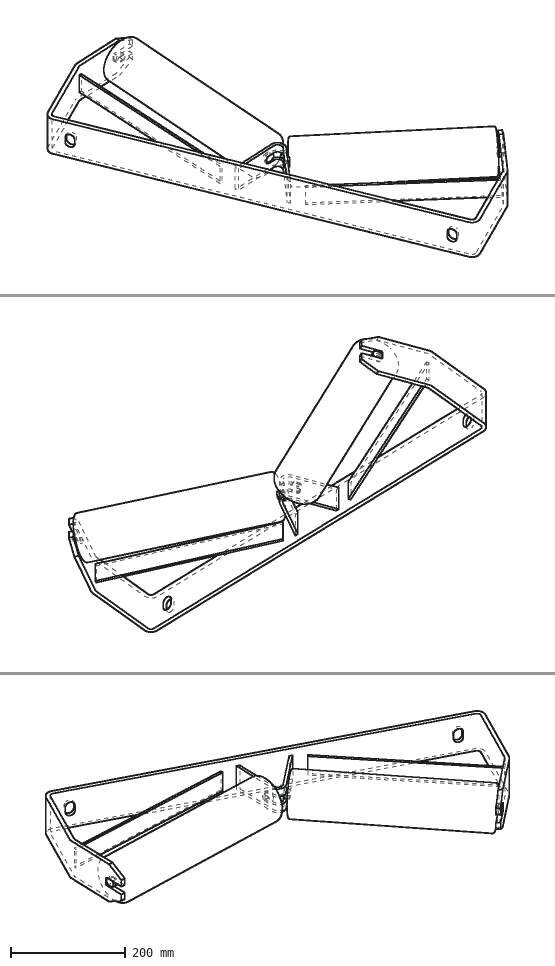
import cadquery as cq
import math


FRAME_LENGTH = 810.0
FRAME_HEIGHT = 80.0
FRAME_THICKNESS = 8.0
BEND_RADIUS = 15.0
LEAN = 25.0
ARM_BEND_Y = 152.0
ARM_LENGTH = 131.0
ARM_CHAMFER_LENGTH = 31.5
ARM_CHAMFER_HEIGHT = 18.0
MOUNT_SLOT_SPACING = 716.0
MOUNT_SLOT_WIDTH = 18.0
MOUNT_SLOT_LENGTH = 28.0

ROLLER_DIAMETER = 89.0
ROLLER_LENGTH = 364.5
ROLLER_EDGE_RADIUS = 4.0
ROLLER_X = 187.0
ROLLER_Y = 161.0
SHAFT_DIAMETER = 18.0
SHAFT_FLATS = 14.0
SHAFT_OVERHANG = 10.0

SHAFT_SLOT_WIDTH = 17.0
SHAFT_SLOT_CORNER = 4.0

BRACKET_HEIGHT = 50.0
BRACKET_THICKNESS = 6.0
BRACKET_FOOT_X = 52.0
BRACKET_BEND_RADIUS = 15.0

BRACE_LEAN = 24.0
BRACE_THICKNESS = 5.0
BRACE_HEIGHT = 40.0
BRACE_FOOT_X = 80.0

HALF_LENGTH = FRAME_LENGTH / 2
WALL_INNER_X = HALF_LENGTH - FRAME_THICKNESS
SIN = math.sin(math.radians(LEAN))
COS = math.cos(math.radians(LEAN))
ARM_TIP_X = HALF_LENGTH - ARM_LENGTH * SIN
ARM_TIP_Y = ARM_BEND_Y + ARM_LENGTH * COS


def with_mirror(body):
    """The right-hand body and its left-hand copy."""
    return [body, body.mirror("YZ")]


def roller_plane(x, y):
    """Plane square to the right-hand roller: local X points down the arm, local Y along -Z or Z."""
    return cq.Plane(origin=(x, y, 0), xDir=(SIN, -COS, 0), normal=(COS, SIN, 0))


def prism(points, height):
    """Extrude an outline in XY to the given height, centred on Z = 0."""
    return cq.Workplane("XY").polyline(points).close().extrude(height / 2, both=True)


def round_edge(body, point, radius):
    """Fillet the Z-direction edge that passes through a point of the XY plane."""
    edge = cq.selectors.NearestToPointSelector((*point, 0))
    return body.edges("|Z").edges(edge).fillet(radius)


def roller_cylinder(diameter, length):
    """Cylinder on the right-hand roller axis, centred on the roller."""
    start = roller_plane(ROLLER_X - length / 2 * COS, ROLLER_Y - length / 2 * SIN)
    return cq.Workplane(start).circle(diameter / 2).extrude(length)


def make_shaft_slot(start, end, depth_above):
    """Slot cutter under the right-hand shaft, between two distances along the roller axis."""
    plane = roller_plane(ROLLER_X + start * COS, ROLLER_Y + start * SIN)
    bottom = SHAFT_DIAMETER / 2
    return (
        cq.Workplane(plane)
        .center((bottom - depth_above) / 2, 0)
        .rect(bottom + depth_above, SHAFT_SLOT_WIDTH)
        .extrude(end - start)
        .edges(cq.selectors.ParallelDirSelector(plane.zDir))
        .fillet(SHAFT_SLOT_CORNER)
    )



def make_half_strip():
    tip_inner = (ARM_TIP_X - FRAME_THICKNESS * COS, ARM_TIP_Y - FRAME_THICKNESS * SIN)
    corner_outer = (HALF_LENGTH, 0)
    corner_inner = (WALL_INNER_X, FRAME_THICKNESS)
    bend_outer = (HALF_LENGTH, ARM_BEND_Y)
    bend_inner = (WALL_INNER_X, ARM_BEND_Y - FRAME_THICKNESS * math.tan(math.radians(LEAN / 2)))
    outline = [
        (0, 0), corner_outer, bend_outer, (ARM_TIP_X, ARM_TIP_Y),
        tip_inner, bend_inner, corner_inner, (0, FRAME_THICKNESS),
    ]
    strip = prism(outline, FRAME_HEIGHT)
    for point in (corner_outer, bend_outer):
        strip = round_edge(strip, point, BEND_RADIUS)
    for point in (corner_inner, bend_inner):
        strip = round_edge(strip, point, BEND_RADIUS - FRAME_THICKNESS)
    return strip


def make_arm_corner(side):
    """Cutter for the sloping corner of the arm tip at +Z (side 1) or -Z (side -1)."""
    edge = side * FRAME_HEIGHT / 2
    outline = [(0, edge), (ARM_CHAMFER_LENGTH, edge), (0, edge - side * ARM_CHAMFER_HEIGHT)]
    plane = roller_plane(ARM_TIP_X, ARM_TIP_Y)
    return cq.Workplane(plane).polyline(outline).close().extrude(-FRAME_THICKNESS)


def make_mount_slot():
    return (
        cq.Workplane("XZ")
        .center(MOUNT_SLOT_SPACING / 2, 0)
        .slot2D(MOUNT_SLOT_LENGTH, MOUNT_SLOT_WIDTH, 90)
        .extrude(-FRAME_THICKNESS)
    )


def make_frame():
    half = make_half_strip().cut(make_mount_slot())
    for side in (-1, 1):
        half = half.cut(make_arm_corner(side))
    half = half.cut(make_shaft_slot(ROLLER_LENGTH / 2, ROLLER_LENGTH / 2 + 2 * FRAME_THICKNESS, ARM_LENGTH))
    right, left = with_mirror(half)
    return right.union(left).clean()



def make_rounded_wedge(foot_x, apex_radius):
    """Solid upside-down V on the base, with a rounded apex."""
    apex = (0, FRAME_THICKNESS + foot_x * COS / SIN)
    wedge = prism([(-foot_x, FRAME_THICKNESS), apex, (foot_x, FRAME_THICKNESS)], BRACKET_HEIGHT)
    return round_edge(wedge, apex, apex_radius)


def make_bracket():
    inner_foot_x = BRACKET_FOOT_X - BRACKET_THICKNESS / COS
    bracket = make_rounded_wedge(BRACKET_FOOT_X, BRACKET_BEND_RADIUS).cut(
        make_rounded_wedge(inner_foot_x, BRACKET_BEND_RADIUS - BRACKET_THICKNESS)
    )
    slot = make_shaft_slot(-ROLLER_LENGTH / 2 - BRACKET_FOOT_X / 2, -ROLLER_LENGTH / 2, ROLLER_DIAMETER / 2)
    for cutter in with_mirror(slot):
        bracket = bracket.cut(cutter)
    return bracket



def make_roller():
    drum = roller_cylinder(ROLLER_DIAMETER, ROLLER_LENGTH).edges().fillet(ROLLER_EDGE_RADIUS)
    shaft_length = ROLLER_LENGTH + 2 * SHAFT_OVERHANG
    flats = cq.Workplane("XY").box(FRAME_LENGTH, FRAME_LENGTH, SHAFT_FLATS)
    shaft = roller_cylinder(SHAFT_DIAMETER, shaft_length).intersect(flats)
    return drum.union(shaft)



def make_brace():
    """Square-ended bar: one edge of its foot rests on the base, one edge of its top meets the wall."""
    lean = math.radians(BRACE_LEAN)
    length = (WALL_INNER_X - BRACE_FOOT_X) / math.cos(lean)
    plane = cq.Plane(
        origin=(BRACE_FOOT_X, FRAME_THICKNESS, 0),
        xDir=(math.cos(lean), math.sin(lean), 0),
        normal=(0, 0, 1),
    )
    return (
        cq.Workplane(plane)
        .rect(length, BRACE_THICKNESS, centered=False)
        .extrude(BRACE_HEIGHT / 2, both=True)
    )


frame = make_frame()
bracket = make_bracket()
rollers = with_mirror(make_roller())
braces = with_mirror(make_brace())

result = cq.Compound.makeCompound([
    frame.val(),
    bracket.val(),
    *[roller.val() for roller in rollers],
    *[brace.val() for brace in braces],
])